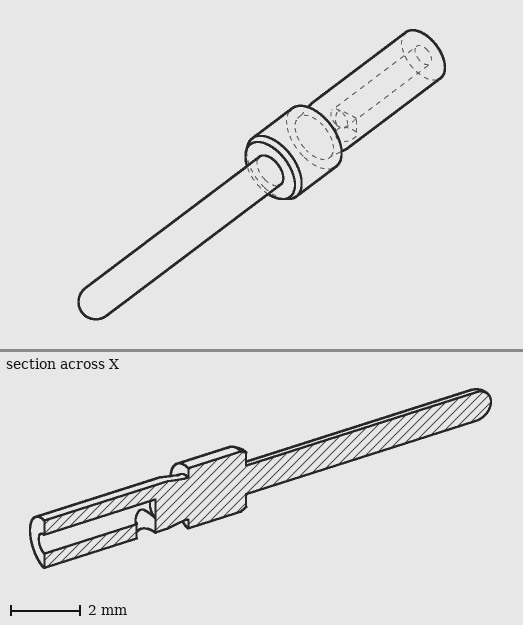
import cadquery as cq

length = 14.8

pin_diameter = 1.0
collar_diameter = 2.1
neck_diameter = 1.47
barrel_diameter = 1.66
bore_diameter = 0.64
inspection_diameter = 0.6

barrel_length = 4.08
taper_length = 0.55
neck_length = 0.13
collar_length = 1.92

bevel_length = 0.18
bevel_depth = 0.1

inspection_distance = 3.37
bore_depth = inspection_distance + inspection_diameter / 2

pin_radius = pin_diameter / 2
collar_radius = collar_diameter / 2
neck_radius = neck_diameter / 2
barrel_radius = barrel_diameter / 2
barrel_start = length - barrel_length
taper_start = barrel_start - taper_length
collar_back = taper_start - neck_length
collar_front = collar_back - collar_length


def turned_body():
    """Revolve the half outline (radius along X) about the Y axis."""
    dome_middle = pin_radius * 0.5**0.5
    return (
        cq.Workplane("XY")
        .moveTo(0, 0)
        .threePointArc((dome_middle, pin_radius - dome_middle), (pin_radius, pin_radius))
        .lineTo(pin_radius, collar_front)
        .lineTo(collar_radius - bevel_depth, collar_front)
        .lineTo(collar_radius, collar_front + bevel_length)
        .lineTo(collar_radius, collar_back)
        .lineTo(neck_radius, collar_back)
        .lineTo(neck_radius, taper_start)
        .lineTo(barrel_radius, barrel_start)
        .lineTo(barrel_radius, length)
        .lineTo(0, length)
        .close()
        .revolve(360, (0, 0, 0), (0, 1, 0))
    )


def wire_bore():
    """Blind bore entering the barrel from its open end."""
    return cq.Workplane("XZ", origin=(0, length, 0)).circle(bore_diameter / 2).extrude(bore_depth)


def inspection_hole():
    """Radial hole from the underside of the barrel into the wire bore."""
    return (
        cq.Workplane("XY", origin=(0, length - inspection_distance, 0))
        .circle(inspection_diameter / 2)
        .extrude(-barrel_radius)
    )


result = turned_body().cut(wire_bore()).cut(inspection_hole())